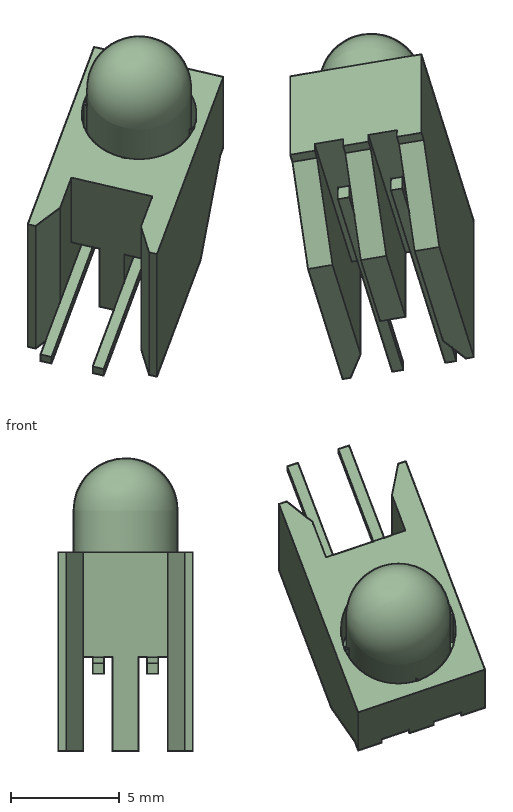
import cadquery as cq
import math


overall_length = 14.1
overall_height = 13.47

housing_width = 6.2
housing_length = 10.8
housing_height = 9.15
back_y = 3.18
front_y = back_y - housing_length

back_wall_bottom = 3.87
slope_step = 0.47
slope_run = 3.2

wing_thickness = 1.16
wing_tip_thickness = 0.38
wing_taper_length = 1.34
block_front_y = -4.44
channel_width = housing_width - 2 * wing_thickness

center_rib_width = 1.2
slot_ceiling = 4.32
slot_width = (channel_width - center_rib_width) / 2
slot_offset = (channel_width + center_rib_width) / 4

lens_diameter = 4.8
lens_radius = lens_diameter / 2
dome_base = overall_height - lens_radius

socket_radius = 2.64
socket_depth = 4.0
socket_floor = housing_height - socket_depth
crush_rib_count = 4
crush_rib_width = 0.2
crush_rib_recess = 0.1
crush_rib_top = housing_height - crush_rib_recess
crush_rib_lead_in = 0.2

lead_width = 0.53
lead_height = 0.5
lead_pitch = 2.5
lead_bottom = 3.55
lead_front_y = back_y - overall_length
lead_back_y = lead_height / 2


def make_block():
    """Side profile with the sloped back underside, extruded across the width."""
    profile = [
        (front_y, 0),
        (back_y - slope_step - slope_run, 0),
        (back_y - slope_step, back_wall_bottom),
        (back_y, back_wall_bottom),
        (back_y, housing_height),
        (front_y, housing_height),
    ]
    return cq.Workplane("YZ").polyline(profile).close().extrude(housing_width / 2, both=True)


def make_front_channel():
    """Open channel between the wings, flaring out at the wing tips."""
    inner_x = channel_width / 2
    tip_x = housing_width / 2 - wing_tip_thickness
    taper_y = front_y + wing_taper_length
    outline = [
        (-inner_x, block_front_y),
        (-inner_x, taper_y),
        (-tip_x, front_y),
        (tip_x, front_y),
        (inner_x, taper_y),
        (inner_x, block_front_y),
    ]
    return cq.Workplane("XY").polyline(outline).close().extrude(housing_height)


def make_lead_slot(side):
    """Slot beside the central rib, open at the bottom and running front to back."""
    return (
        cq.Workplane("XY")
        .center(side * slot_offset, (front_y + back_y) / 2)
        .rect(slot_width, housing_length)
        .extrude(slot_ceiling)
    )


def make_crush_rib():
    """Triangular rib on the +X side of the socket, with a lead-in slope at its top."""
    base_x = math.sqrt(socket_radius**2 - (crush_rib_width / 2) ** 2)
    root_x = socket_radius + crush_rib_width
    section = [
        (lens_radius, 0),
        (base_x, crush_rib_width / 2),
        (root_x, crush_rib_width / 2),
        (root_x, -crush_rib_width / 2),
        (base_x, -crush_rib_width / 2),
    ]
    rib = (
        cq.Workplane("XY")
        .workplane(offset=socket_floor)
        .polyline(section)
        .close()
        .extrude(crush_rib_top - socket_floor)
    )
    slope = [
        (lens_radius, crush_rib_top - crush_rib_lead_in),
        (socket_radius, crush_rib_top),
        (lens_radius, crush_rib_top),
    ]
    lead_in = cq.Workplane("XZ").polyline(slope).close().extrude(crush_rib_width, both=True)
    return rib.cut(lead_in)


def make_socket():
    """Space of the round lens socket, less the crush ribs."""
    socket = cq.Workplane("XY").workplane(offset=socket_floor).circle(socket_radius).extrude(socket_depth)
    rib = make_crush_rib()
    for index in range(crush_rib_count):
        angle = index * 360 / crush_rib_count
        socket = socket.cut(rib.rotate((0, 0, 0), (0, 0, 1), angle))
    return socket


def make_lead(side):
    """Rectangular lead that drops from the lens and bends forward."""
    profile = [
        (lead_back_y, socket_floor),
        (lead_back_y, lead_bottom),
        (lead_front_y, lead_bottom),
        (lead_front_y, lead_bottom + lead_height),
        (lead_back_y - lead_height, lead_bottom + lead_height),
        (lead_back_y - lead_height, socket_floor),
    ]
    lead = cq.Workplane("YZ").polyline(profile).close().extrude(lead_width / 2, both=True)
    return lead.translate((side * lead_pitch / 2, 0, 0))


def make_lens():
    """Cylinder with a hemispherical dome, standing on the socket floor."""
    dome_middle = lens_radius * math.sqrt(0.5)
    return (
        cq.Workplane("XZ")
        .moveTo(0, socket_floor)
        .lineTo(lens_radius, socket_floor)
        .lineTo(lens_radius, dome_base)
        .threePointArc((dome_middle, dome_base + dome_middle), (0, overall_height))
        .close()
        .revolve(360, (0, 0, 0), (0, 1, 0))
    )


def make_housing(leads):
    """Holder block with its channel, lead slots, lens socket and lead holes."""
    housing = make_block().cut(make_front_channel()).cut(make_socket())
    for side in (-1, 1):
        housing = housing.cut(make_lead_slot(side))
    for lead in leads:
        housing = housing.cut(lead)
    return housing


leads = [make_lead(side) for side in (-1, 1)]
lens = make_lens()
housing = make_housing(leads)

bodies = [housing, lens, *leads]
result = cq.Compound.makeCompound([body.solids().val() for body in bodies])